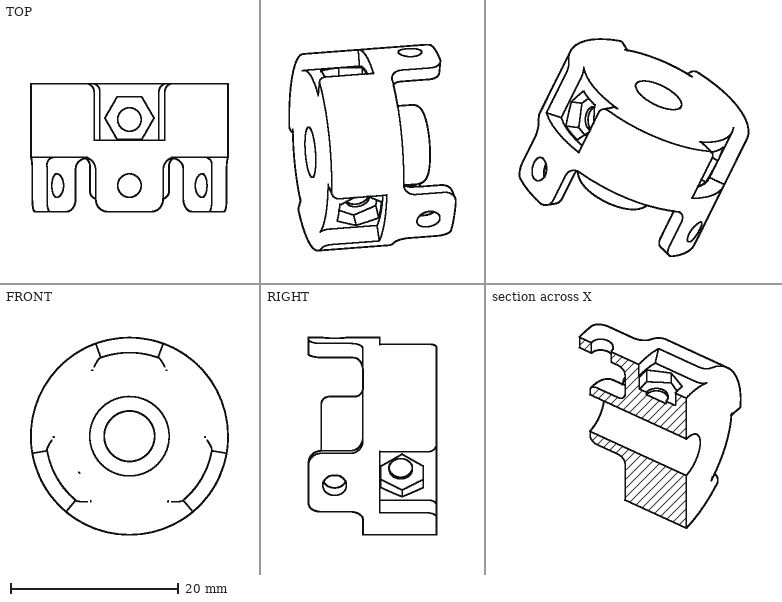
import cadquery as cq
import math

disc_diameter = 23.6
disc_thickness = 8.82
hub_diameter = 9.5
hub_length = 5.0
bore_diameter = 6.0

arm_count = 3
arm_length = 6.5
arm_half_angle = 20.0
arm_corner_radius = 1.5
arm_inner_radius = 10.0
small_fillet = 1.0
arm_hole_diameter = 2.8
arm_hole_offset = 3.37

notch_length = 6.79
notch_half_angle = 21.0
notch_floor_radius = 9.83

hexagon_across_flats = 5.1
hexagon_offset = 4.12
hexagon_floor = 7.78
screw_hole_diameter = 2.8
screw_hole_offset = 4.3
screw_hole_depth = 0.4

disc_radius = disc_diameter / 2
trim_allowance = 1.18
arm_stock_radius = disc_radius + trim_allowance
arm_tip = -arm_length
notch_front = disc_thickness - notch_length
arc_midpoint = math.sqrt(0.5)
tool_reach = 10.6
tool_start = 5.9
tool_length = disc_radius


def disc_with_hub():
    """Bored disc and front hub, turned about Y from a (radius, Y) half profile."""
    hub_radius = hub_diameter / 2
    bore_radius = bore_diameter / 2
    bend = small_fillet * (1 - arc_midpoint)
    return (
        cq.Workplane("XY")
        .moveTo(bore_radius, disc_thickness)
        .lineTo(disc_radius, disc_thickness)
        .lineTo(disc_radius, 0)
        .lineTo(hub_radius + small_fillet, 0)
        .threePointArc((hub_radius + bend, -bend), (hub_radius, -small_fillet))
        .lineTo(hub_radius, small_fillet - hub_length)
        .threePointArc((hub_radius - bend, bend - hub_length), (hub_radius - small_fillet, -hub_length))
        .lineTo(bore_radius, -hub_length)
        .close()
        .revolve(360, (0, 0, 0), (0, 1, 0))
    )


def wedge(half_angle, outline):
    """Wedge about +Z bounded by two radial walls.

    The outline describes one wall in a plane facing the radial direction at half_angle:
    its local x runs sideways out of the wedge and its local y runs along Y.
    """
    angle = math.radians(half_angle)
    radial = cq.Vector(math.sin(angle), 0, math.cos(angle))
    sideways = cq.Vector(math.cos(angle), 0, -math.sin(angle))
    wall_plane = cq.Plane(origin=radial * tool_start, xDir=sideways, normal=radial)
    half = outline(cq.Workplane(wall_plane)).extrude(tool_length)
    return half.intersect(half.mirror("YZ"))


def arm_outline(plane):
    """Arm edge: concave root at the disc, straight side, rounded tip corner."""
    radius = arm_corner_radius
    bend = radius * (1 - arc_midpoint)
    return (
        plane.moveTo(-tool_reach, 0)
        .lineTo(radius, 0)
        .threePointArc((bend, -bend), (0, -radius))
        .lineTo(0, arm_tip + radius)
        .threePointArc((-bend, arm_tip + bend), (-radius, arm_tip))
        .lineTo(-tool_reach, arm_tip)
        .close()
    )


def notch_outline(plane):
    """Notch edge: straight side that flares around a rounded corner at the disc back face."""
    radius = small_fillet
    bend = radius * (1 - arc_midpoint)
    return (
        plane.moveTo(-tool_reach, notch_front)
        .lineTo(0, notch_front)
        .lineTo(0, disc_thickness - radius)
        .threePointArc((bend, disc_thickness - bend), (radius, disc_thickness))
        .lineTo(-tool_reach, disc_thickness)
        .close()
    )


def radial_cylinder(diameter, y, start):
    """Cylinder along +Z from height start, with its axis at the given Y."""
    plane = cq.Workplane("XY", origin=(0, y, start))
    return plane.circle(diameter / 2).extrude(tool_length)


def arm():
    """Oversize front arm at +Z with a filleted inner root and a radial hole."""
    bend = small_fillet * (1 - arc_midpoint)
    ring = (
        cq.Workplane("XY")
        .moveTo(arm_stock_radius, 0)
        .lineTo(arm_inner_radius - small_fillet, 0)
        .threePointArc((arm_inner_radius - bend, -bend), (arm_inner_radius, -small_fillet))
        .lineTo(arm_inner_radius, arm_tip)
        .lineTo(arm_stock_radius, arm_tip)
        .close()
        .revolve(360, (0, 0, 0), (0, 1, 0))
    )
    hole = radial_cylinder(arm_hole_diameter, -arm_hole_offset, tool_start)
    return ring.intersect(wedge(arm_half_angle, arm_outline)).cut(hole)


def notch():
    """Tool for the rim notch behind the arm at +Z, with a hexagonal pocket and a shallow round hole below it."""
    floor = cq.Workplane("XZ").circle(notch_floor_radius).extrude(-disc_thickness)
    recess = wedge(notch_half_angle, notch_outline).cut(floor)
    pocket_y = disc_thickness - hexagon_offset
    across_corners = hexagon_across_flats / math.cos(math.radians(30))
    pocket = (
        cq.Workplane("XY", origin=(0, pocket_y, hexagon_floor))
        .polygon(6, across_corners)
        .extrude(tool_length)
    )
    hole_y = disc_thickness - screw_hole_offset
    hole = radial_cylinder(screw_hole_diameter, hole_y, hexagon_floor - screw_hole_depth)
    return recess.union(pocket).union(hole)


result = disc_with_hub()
arm_at_top = arm()
notch_at_top = notch()
for index in range(arm_count):
    turn = index * 360 / arm_count
    result = result.union(arm_at_top.rotate((0, 0, 0), (0, 1, 0), turn))
    result = result.cut(notch_at_top.rotate((0, 0, 0), (0, 1, 0), turn))

rim = cq.Workplane("XZ", origin=(0, disc_thickness, 0)).circle(disc_radius)
result = result.intersect(rim.extrude(disc_thickness + arm_length))